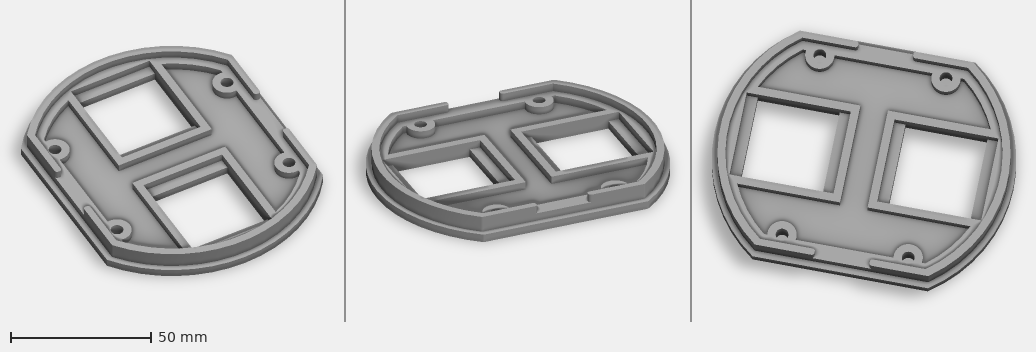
import cadquery as cq

flange_height = 3.0
shelf_height = 6.0
total_height = 9.0
floor_height = flange_height

flange_radius, flange_half_depth = 54.3, 44.0
rim_radius, rim_half_depth = 52.2, 41.7
shelf_radius, shelf_half_depth = 49.4, 39.2
pocket_radius, pocket_half_depth = 46.4, 36.0
rim_corner_radius = 1.1

gap_width = 20.0
gap_end_radius = 1.0

window_inner_x, window_outer_x = 7.9, 45.7
window_depth = 31.9
ledge_width = 4.0
ledge_height = flange_height
frame_wall = 2.9

boss_x, boss_y = 22.9, 35.0
boss_radius = 5.2
screw_hole_radius = 2.3


def flattened_disc(radius, half_depth, bottom, top):
    """Disc cut flat at y = +half_depth and y = -half_depth."""
    height = top - bottom
    disc = cq.Workplane("XY").workplane(offset=bottom).circle(radius).extrude(height)
    slab = (
        cq.Workplane("XY").workplane(offset=bottom)
        .rect(2 * radius, 2 * half_depth).extrude(height)
    )
    return disc.intersect(slab)


def block(center_x, width, depth, bottom, top):
    """Rectangular block centred on the X axis."""
    return (
        cq.Workplane("XY").workplane(offset=bottom).center(center_x, 0)
        .rect(width, depth).extrude(top - bottom)
    )


def boss_cylinders(radius, bottom, top):
    """Cylinders at the four screw positions."""
    return (
        cq.Workplane("XY").workplane(offset=bottom)
        .rect(2 * boss_x, 2 * boss_y, forConstruction=True).vertices()
        .circle(radius).extrude(top - bottom)
    )


def raised_rim():
    """Thin wall above the shelf, split by two round-ended gaps."""
    wall = flattened_disc(rim_radius, rim_half_depth, shelf_height, total_height)
    wall = wall.edges("|Z").fillet(rim_corner_radius)
    wall = wall.cut(flattened_disc(shelf_radius, shelf_half_depth, shelf_height, total_height))
    wall = wall.cut(block(0, gap_width, 2 * rim_half_depth, shelf_height, total_height))
    half_gap = gap_width / 2
    gap_edges = cq.selectors.BoxSelector(
        (-half_gap - gap_end_radius, -flange_radius, 0),
        (half_gap + gap_end_radius, flange_radius, 2 * total_height),
    )
    return wall.edges("|Z").edges(gap_edges).fillet(gap_end_radius)


flange = flattened_disc(flange_radius, flange_half_depth, 0, flange_height)
shelf = flattened_disc(rim_radius, rim_half_depth, flange_height, shelf_height)
shelf = shelf.edges("|Z").fillet(rim_corner_radius)
result = flange.union(shelf)

pocket = flattened_disc(pocket_radius, pocket_half_depth, floor_height, shelf_height)
frame_inner_x = window_inner_x - frame_wall
frame_width = flange_radius - frame_inner_x
frame_depth = window_depth + 2 * frame_wall
for side in (-1, 1):
    frame_center = side * (frame_inner_x + frame_width / 2)
    pocket = pocket.cut(block(frame_center, frame_width, frame_depth, floor_height, shelf_height))
pocket = pocket.cut(boss_cylinders(boss_radius, floor_height, shelf_height))
result = result.cut(pocket).union(raised_rim())

window_width = window_outer_x - window_inner_x
opening_width = window_width - 2 * ledge_width
for side in (-1, 1):
    window_center = side * (window_inner_x + window_outer_x) / 2
    result = result.cut(block(window_center, window_width, window_depth, ledge_height, shelf_height))
    result = result.cut(block(window_center, opening_width, window_depth, 0, ledge_height))

result = result.cut(boss_cylinders(screw_hole_radius, 0, shelf_height))